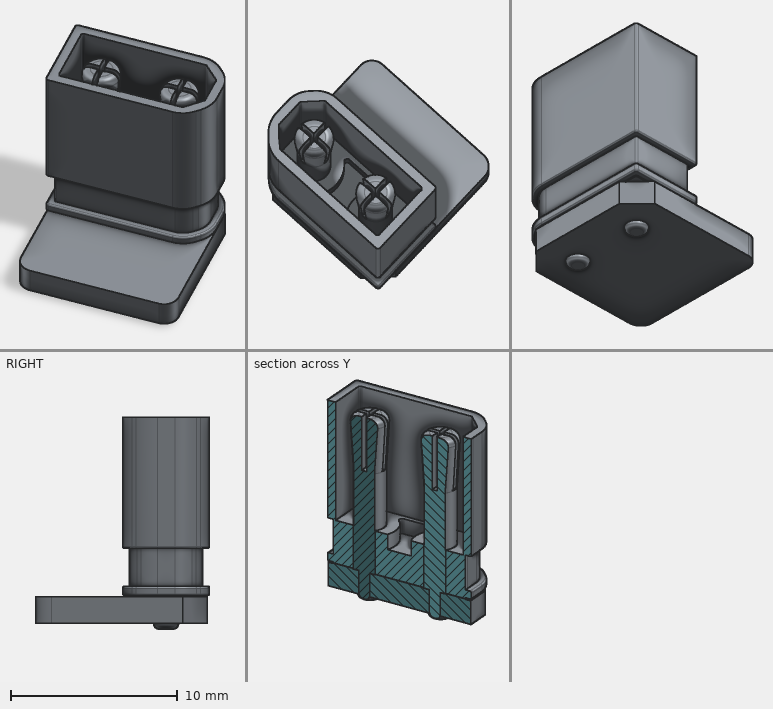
import cadquery as cq
import math

total_width = 10.41

total_height = 12.7
board_bottom = 0.34
board_thickness = 1.6
board_top = board_bottom + board_thickness
flange_gap = 0.08
flange_thickness = 0.56
flange_bottom = board_top + flange_gap
flange_top = flange_bottom + flange_thickness
shell_bottom = 4.85

housing_length = 10.2
housing_width = 5.2
nose_chamfer = 1.32
nose_bend_radius = 1.84
shell_corner_radius = 0.18
flange_fillet = 0.11
shell_fillet = 0.1
neck_inset = 0.41
neck_corner_radius = 0.13
shell_wall = 0.6
cavity_chamfer = 1.04
cavity_corner_radius = 0.15
cavity_floor = shell_bottom

recess_width = 3.33
recess_depth = 1.0
recess_pin_clearance = 1.8
recess_corner_radius = 0.19

pin_spacing = 5.0
pin_top = 12.2
shaft_diameter = 2.0
tail_diameter = 1.5
tail_fillet = board_bottom
head_diameter = 2.35
head_fillet = 0.5
slot_width = 0.3
slot_depth = 3.55

board_length = 10.1
board_setback = 0.11
board_back = housing_width / 2 - board_setback
board_width = total_width - board_setback
board_front_radius = 0.93
board_back_chamfer = 1.49


def outline_prism(inset, chamfer, corner_radius, bend_radius, bottom, top):
    """Prism on the housing outline, moved inward by `inset`, its +X corners cut by `chamfer`."""
    half_length = housing_length / 2 - inset
    half_width = housing_width / 2 - inset
    outline = [
        (-half_length, -half_width),
        (half_length - chamfer, -half_width),
        (half_length, -half_width + chamfer),
        (half_length, half_width - chamfer),
        (half_length - chamfer, half_width),
        (-half_length, half_width),
    ]
    prism = cq.Workplane("XY").workplane(offset=bottom).polyline(outline).close().extrude(top - bottom)
    bend_edges = cq.selectors.BoxSelector((0, -housing_width, bottom), (housing_length, housing_width, top))
    prism = prism.edges("|Z").edges(bend_edges).fillet(bend_radius)
    return prism.edges("|Z and <X").fillet(corner_radius)


def pin_positions():
    return [(-pin_spacing / 2, 0), (pin_spacing / 2, 0)]


def make_floor_recess():
    """Hourglass prism whose waist follows circles around the two pins."""
    half_width = recess_width / 2
    corner_x = pin_spacing / 2 - math.sqrt(recess_pin_clearance**2 - half_width**2)
    waist_x = pin_spacing / 2 - recess_pin_clearance
    return (
        cq.Workplane("XY")
        .workplane(offset=cavity_floor - recess_depth)
        .moveTo(-corner_x, -half_width)
        .lineTo(corner_x, -half_width)
        .threePointArc((waist_x, 0), (corner_x, half_width))
        .lineTo(-corner_x, half_width)
        .threePointArc((-waist_x, 0), (-corner_x, -half_width))
        .close()
        .extrude(recess_depth)
        .edges("|Z")
        .fillet(recess_corner_radius)
    )


def make_housing():
    flange = outline_prism(
        0, nose_chamfer, shell_corner_radius, nose_bend_radius, flange_bottom, flange_top
    )
    flange = flange.faces("<Z or >Z").edges().fillet(flange_fillet)

    neck_chamfer = nose_chamfer - neck_inset * (2 - math.sqrt(2))
    neck_bend_radius = nose_bend_radius - neck_inset
    neck = outline_prism(
        neck_inset, neck_chamfer, neck_corner_radius, neck_bend_radius, board_top, shell_bottom
    )

    shell = outline_prism(
        0, nose_chamfer, shell_corner_radius, nose_bend_radius, shell_bottom, total_height
    )
    shell = shell.faces("<Z").edges().fillet(shell_fillet)

    cavity = outline_prism(
        shell_wall, cavity_chamfer, cavity_corner_radius, cavity_corner_radius, cavity_floor, total_height
    )
    pin_holes = (
        cq.Workplane("XY")
        .workplane(offset=board_top)
        .pushPoints(pin_positions())
        .circle(shaft_diameter / 2)
        .extrude(cavity_floor - board_top)
    )
    return flange.union(neck).union(shell).cut(cavity).cut(make_floor_recess()).cut(pin_holes)


def make_pin(x, y):
    """Stepped pin with a bulging head split into four fingers by crossed slots."""
    head_radius = head_diameter / 2
    shaft_radius = shaft_diameter / 2
    tail_radius = tail_diameter / 2
    slot_bottom = pin_top - slot_depth
    arc_offset = math.sqrt(0.5)
    head_center = (head_radius - head_fillet, pin_top - head_fillet)
    tail_center = (tail_radius - tail_fillet, tail_fillet)
    pin = (
        cq.Workplane("XZ")
        .moveTo(0, 0)
        .lineTo(tail_center[0], 0)
        .threePointArc(
            (tail_center[0] + tail_fillet * arc_offset, tail_center[1] - tail_fillet * arc_offset),
            (tail_radius, tail_fillet),
        )
        .lineTo(tail_radius, board_top)
        .lineTo(shaft_radius, board_top)
        .lineTo(shaft_radius, slot_bottom)
        .lineTo(head_radius, head_center[1])
        .threePointArc(
            (head_center[0] + head_fillet * arc_offset, head_center[1] + head_fillet * arc_offset),
            (head_center[0], pin_top),
        )
        .lineTo(0, pin_top)
        .close()
        .revolve(360, (0, 0, 0), (0, 1, 0))
    )
    slot = (
        cq.Workplane("XY")
        .workplane(offset=slot_bottom)
        .rect(head_diameter, slot_width)
        .extrude(slot_depth)
    )
    crossing_slot = slot.rotate((0, 0, 0), (0, 0, 1), 90)
    return pin.cut(slot).cut(crossing_slot).translate((x, y, 0))


def make_board():
    board = (
        cq.Workplane("XY")
        .workplane(offset=board_bottom)
        .center(0, board_back - board_width / 2)
        .rect(board_length, board_width)
        .extrude(board_thickness)
    )
    board = board.edges("|Z and <Y").fillet(board_front_radius)
    board = board.edges("|Z and >Y").chamfer(board_back_chamfer)
    pin_holes = (
        cq.Workplane("XY")
        .workplane(offset=board_bottom)
        .pushPoints(pin_positions())
        .circle(tail_diameter / 2)
        .extrude(board_thickness)
    )
    return board.cut(pin_holes)


housing = make_housing()
board = make_board()
pins = [make_pin(x, y) for x, y in pin_positions()]

result = cq.Compound.makeCompound([housing.val(), board.val(), *[pin.val() for pin in pins]])